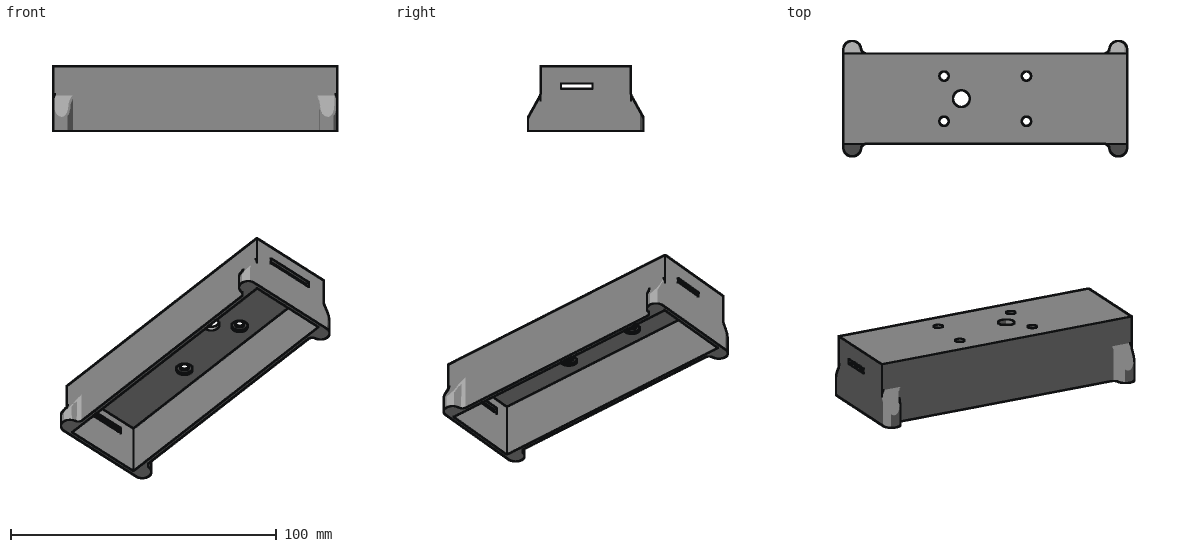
import cadquery as cq
import math

length = 107.0
body_width = 34.0
height = 24.5
top_thickness = 2.0
wall = 1.5

total_width = 43.5
nose_radius = 3.4
flare_radius = 2.0
slope_top = 13.7
slope_angle = 29.0
slope_edge_fillet = 1.1
slope_root_fillet = 3.0
foot_space_length = 10.7

screw_hole_diameter = 3.4
screw_recess_diameter = 6.2
screw_recess_depth = 1.0
screw_spacing_x = 31.0
screw_spacing_y = 17.0
cable_hole_diameter = 6.2
cable_hole_x = -9.0

slot_left = 9.8
slot_right = -9.3
slot_bottom = 16.0
slot_top = 18.5

window_steps = [(5.0, 18.5), (3.4, 18.2), (2.5, 17.9)]

half_length = length / 2
half_body = body_width / 2
ceiling = height - top_thickness
slope = math.radians(slope_angle)
slope_normal = cq.Vector(0, -math.cos(slope), math.sin(slope))


def point_on_circle(center, radius, angle):
    return (center[0] + radius * math.cos(angle), center[1] + radius * math.sin(angle))


def make_foot():
    """Foot at the (-X, -Y) corner: round nose, concave flare on one side, sloping top."""
    nose_center = (-half_length + nose_radius, -total_width / 2 + nose_radius)
    flare_center_y = -half_body - flare_radius
    rise = flare_center_y - nose_center[1]
    run = math.sqrt((nose_radius + flare_radius) ** 2 - rise**2)
    flare_center = (nose_center[0] + run, flare_center_y)
    tangent_angle = math.atan2(rise, run)
    flare_middle_angle = (tangent_angle + math.pi + math.pi / 2) / 2
    root_y = -half_body + wall

    foot = (
        cq.Workplane("XY")
        .moveTo(-half_length, root_y)
        .lineTo(-half_length, nose_center[1])
        .threePointArc(
            point_on_circle(nose_center, nose_radius, -math.pi / 2),
            point_on_circle(nose_center, nose_radius, tangent_angle),
        )
        .threePointArc(
            point_on_circle(flare_center, flare_radius, flare_middle_angle),
            point_on_circle(flare_center, flare_radius, math.pi / 2),
        )
        .lineTo(flare_center[0], root_y)
        .close()
        .extrude(height)
    )
    slope_run = height * math.tan(slope)
    above_slope = (
        cq.Workplane("YZ", origin=(-half_length, 0, 0))
        .moveTo(-half_body - slope_run, slope_top - height)
        .lineTo(-half_body + slope_run, slope_top + height)
        .lineTo(-half_body - slope_run, slope_top + height)
        .close()
        .extrude(length / 2)
    )
    return foot.cut(above_slope)


def round_foot(part):
    """Round the root where the sloping face meets the box, then the outer edge of that face."""
    slope_face = cq.selectors.ParallelDirSelector(slope_normal)
    part = part.faces(slope_face).edges("%LINE and |X").fillet(slope_root_fillet)
    return part.faces(slope_face).edges("%ELLIPSE").fillet(slope_edge_fillet)


def end_opening(start_x, depth, left, top):
    """Rectangular cut along X from start_x, sharing the slot's right and bottom edges."""
    opening = cq.Workplane("XY").box(depth, left - slot_right, top - slot_bottom, centered=False)
    return opening.translate((start_x, slot_right, slot_bottom))


box = cq.Workplane("XY").box(length, body_width, height, centered=(True, True, False))
foot_space = cq.Workplane("XY").box(foot_space_length, total_width / 2, height, centered=False)
foot_space = foot_space.translate((-half_length, -total_width / 2, 0))
foot = round_foot(box.union(make_foot())).intersect(foot_space)
end_feet = foot.union(foot.mirror("XZ"))
result = box.union(end_feet).union(end_feet.mirror("YZ")).clean()

cavity = cq.Workplane("XY").box(
    length - 2 * wall, body_width - 2 * wall, ceiling, centered=(True, True, False)
)
result = result.cut(cavity)

screw_points = cq.Workplane("XY", origin=(0, 0, ceiling)).rarray(screw_spacing_x, screw_spacing_y, 2, 2)
result = result.cut(screw_points.circle(screw_hole_diameter / 2).extrude(top_thickness))
result = result.cut(screw_points.circle(screw_recess_diameter / 2).extrude(screw_recess_depth))

cable_hole = cq.Workplane("XY", origin=(cable_hole_x, 0, ceiling)).circle(cable_hole_diameter / 2)
result = result.cut(cable_hole.extrude(top_thickness))

result = result.cut(end_opening(-half_length, wall, slot_left, slot_top))
step_depth = wall / len(window_steps)
for index, (left, top) in enumerate(window_steps):
    result = result.cut(end_opening(half_length - wall, (index + 1) * step_depth, left, top))